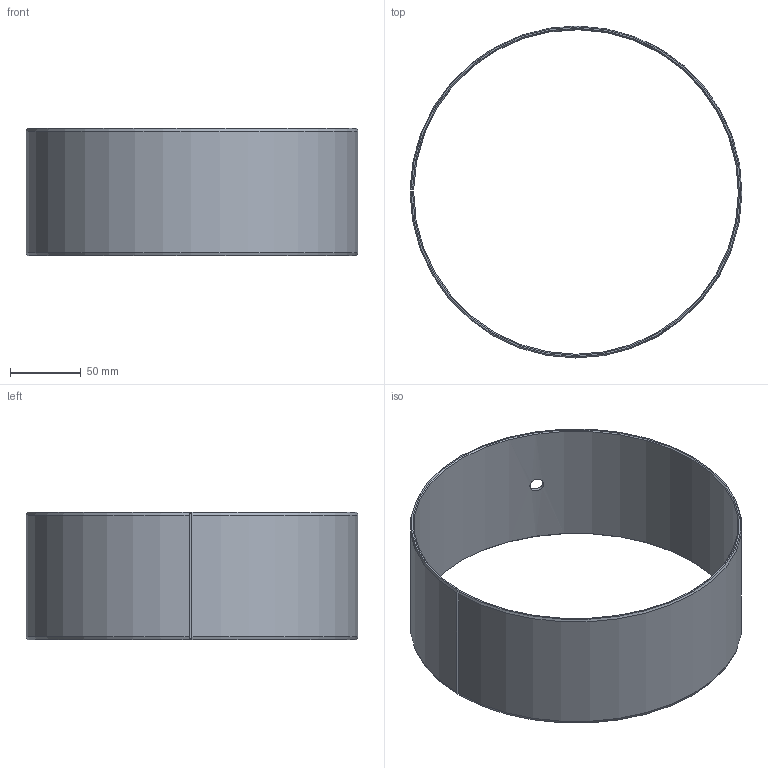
import cadquery as cq
import math

outer_diameter = 235.0
wall = 2.5
height = 90.0
outer_bevel_height = 1.8
outer_bevel_angle = 20.0
inner_chamfer = 0.8
gap_start_angle = 179.0
gap_angle = 1.0
hole_diameter = 10.0
hole_angle = 59.0

outer_radius = outer_diameter / 2
inner_radius = outer_radius - wall
outer_bevel_depth = outer_bevel_height * math.tan(math.radians(outer_bevel_angle))


def make_open_band():
    """Wall section with bevelled corners, revolved about Z to leave a narrow gap near -X."""
    section = (
        cq.Workplane("XZ")
        .moveTo(inner_radius, inner_chamfer)
        .lineTo(inner_radius + inner_chamfer, 0)
        .lineTo(outer_radius - outer_bevel_depth, 0)
        .lineTo(outer_radius, outer_bevel_height)
        .lineTo(outer_radius, height - outer_bevel_height)
        .lineTo(outer_radius - outer_bevel_depth, height)
        .lineTo(inner_radius + inner_chamfer, height)
        .lineTo(inner_radius, height - inner_chamfer)
        .close()
    )
    band = section.revolve(360 - gap_angle, (0, 0, 0), (0, 1, 0))
    return band.rotate((0, 0, 0), (0, 0, 1), gap_start_angle + gap_angle)


def make_hole_cutter():
    """Radial cylinder that passes through one side of the wall at mid-height."""
    angle = math.radians(hole_angle)
    direction = cq.Vector(math.cos(angle), math.sin(angle), 0)
    start = direction * (inner_radius - wall) + cq.Vector(0, 0, height / 2)
    return cq.Workplane(cq.Solid.makeCylinder(hole_diameter / 2, 3 * wall, start, direction))


result = make_open_band().cut(make_hole_cutter())